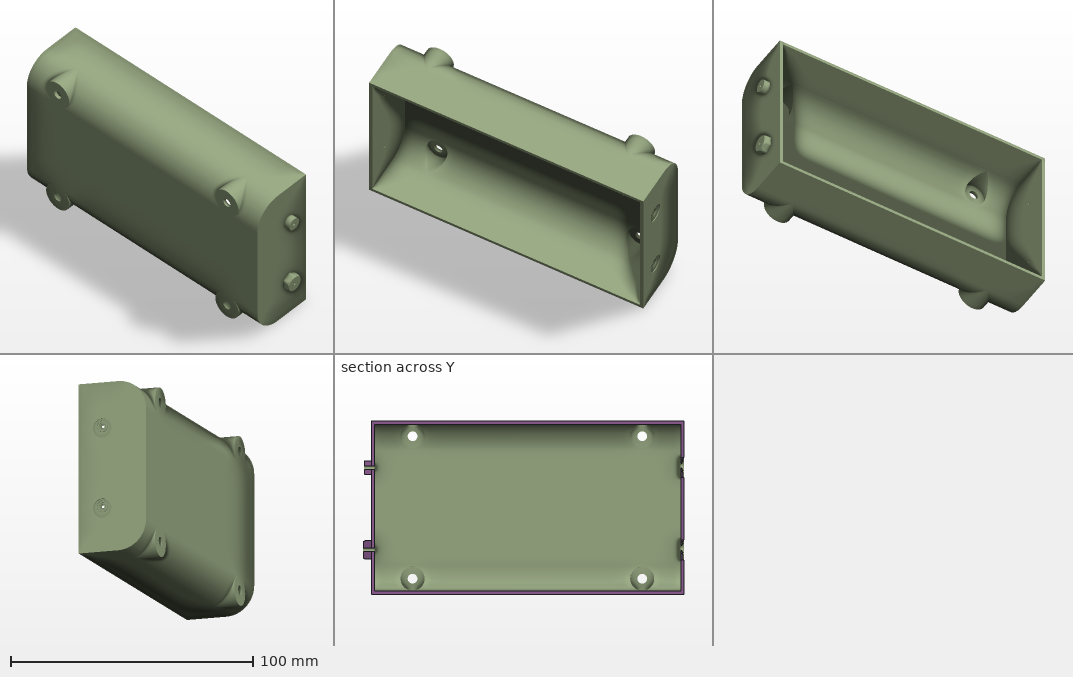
import cadquery as cq
import math

LENGTH = 129.2
DEPTH = 29.6
HEIGHT = 71.7
EDGE_RADIUS = 12.2
WALL = 1.5

BOSS_RADIUS = 6.45
BOSS_HOLE_RADIUS = 2.0
BOSS_SPACING = 94.8

AXIS_Y = 19.25
AXIS_SPACING = 33.95
LOWER_AXIS_Z = 18.45
UPPER_AXIS_Z = LOWER_AXIS_Z + AXIS_SPACING

SOCKET_RADIUS = 4.0
SOCKET_RECESS = 0.4
SOCKET_THICKNESS = WALL - SOCKET_RECESS
BORE_OFFSET = 0.8
GROOVE_OUTER_RADIUS = 2.5
GROOVE_INNER_RADIUS = 2.2
GROOVE_DEPTH = 0.3
BORE_STEP_RADII = (1.6, 1.1)
BORE_STEP_DEPTH = 0.3

THROUGH_BORE_RADIUS = 0.65

PLUG_RADIUS = 2.9
PLUG_LENGTH = 2.9

KNOB_END_X = 132.41
KNOB_LENGTH = KNOB_END_X - LENGTH
KNOB_ACROSS_FLATS = 7.15
KNOB_CORNER_RADIUS = 3.95
KNOB_CHAMFER_LENGTH = 0.9
KNOB_CHAMFER_DROP = 0.45


def cylinder_x(x, z, radius, length):
    """A cylinder along X at depth AXIS_Y and height z, running from x towards +X."""
    return cq.Workplane("YZ", origin=(x, AXIS_Y, z)).circle(radius).extrude(length)


def rounded_block(margin):
    """The housing outline, moved inwards by margin at the front, the ends, the top and the bottom."""
    return (
        cq.Workplane("XY", origin=(margin, margin, margin))
        .box(LENGTH - 2 * margin, DEPTH - margin, HEIGHT - 2 * margin, centered=False)
        .edges("|X and <Y")
        .fillet(EDGE_RADIUS - margin)
    )


def make_housing():
    boss_points = [
        (LENGTH / 2 + side * BOSS_SPACING / 2, z)
        for side in (-1, 1)
        for z in (BOSS_RADIUS, HEIGHT - BOSS_RADIUS)
    ]
    boss_centres = cq.Workplane("XZ").pushPoints(boss_points)
    bosses = boss_centres.circle(BOSS_RADIUS).extrude(-EDGE_RADIUS)
    pocket_centres = cq.Workplane("XZ", origin=(0, WALL, 0)).pushPoints(boss_points)
    boss_pockets = pocket_centres.circle(BOSS_RADIUS - WALL).extrude(WALL - EDGE_RADIUS)
    cavity = rounded_block(WALL).union(boss_pockets)
    boss_holes = boss_centres.circle(BOSS_HOLE_RADIUS).extrude(-DEPTH)

    housing = rounded_block(0).union(bosses).cut(cavity).cut(boss_holes)
    for z in (LOWER_AXIS_Z, UPPER_AXIS_Z):
        housing = housing.cut(cylinder_x(0, z, SOCKET_RADIUS, WALL))
        housing = housing.cut(cylinder_x(LENGTH - WALL, z, THROUGH_BORE_RADIUS, WALL))
    return housing


def make_socket(z):
    bore_z = z + BORE_OFFSET
    groove_core = cylinder_x(SOCKET_RECESS, bore_z, GROOVE_INNER_RADIUS, GROOVE_DEPTH)
    groove = cylinder_x(SOCKET_RECESS, bore_z, GROOVE_OUTER_RADIUS, GROOVE_DEPTH).cut(groove_core)

    socket = cylinder_x(SOCKET_RECESS, z, SOCKET_RADIUS, SOCKET_THICKNESS).cut(groove)
    for number, radius in enumerate(BORE_STEP_RADII, start=1):
        socket = socket.cut(cylinder_x(SOCKET_RECESS, bore_z, radius, number * BORE_STEP_DEPTH))
    return socket.cut(cylinder_x(SOCKET_RECESS, bore_z, THROUGH_BORE_RADIUS, SOCKET_THICKNESS))


def make_plug():
    plug = cylinder_x(LENGTH, UPPER_AXIS_Z, PLUG_RADIUS, PLUG_LENGTH)
    return plug.cut(cylinder_x(LENGTH, UPPER_AXIS_Z, THROUGH_BORE_RADIUS, PLUG_LENGTH))


def make_knob():
    """A hexagon with rounded corners, flats facing +Y and -Y, and a conical end chamfer."""
    across_corners = KNOB_ACROSS_FLATS / math.cos(math.pi / 6)
    hexagon = (
        cq.Workplane("YZ", origin=(LENGTH, AXIS_Y, LOWER_AXIS_Z))
        .transformed(rotate=(0, 0, 90))
        .polygon(6, across_corners)
        .extrude(KNOB_LENGTH)
    )
    round_blank = (
        cylinder_x(LENGTH, LOWER_AXIS_Z, KNOB_CORNER_RADIUS, KNOB_LENGTH)
        .faces(">X")
        .chamfer(KNOB_CHAMFER_LENGTH, KNOB_CHAMFER_DROP)
    )
    bore = cylinder_x(LENGTH, LOWER_AXIS_Z, THROUGH_BORE_RADIUS, KNOB_LENGTH)
    return hexagon.intersect(round_blank).cut(bore)


housing = make_housing()
sockets = [make_socket(z) for z in (LOWER_AXIS_Z, UPPER_AXIS_Z)]
plug = make_plug()
knob = make_knob()

result = cq.Compound.makeCompound(
    [housing.val(), *[socket.val() for socket in sockets], plug.val(), knob.val()]
)